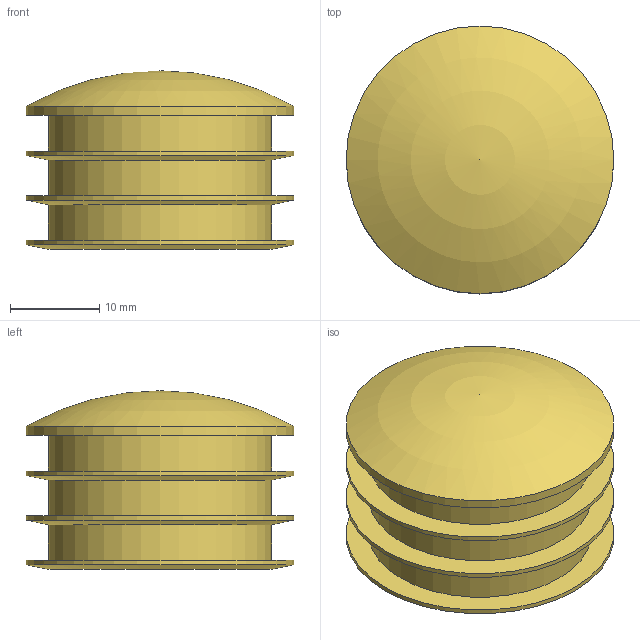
import cadquery as cq

outer_diameter = 30.0
core_diameter = 25.0
total_height = 20.0
dome_height = 4.0
rim_thickness = 1.0
fin_count = 3
fin_edge_height = 0.5
fin_taper_height = 0.5

outer_radius = outer_diameter / 2
core_radius = core_diameter / 2
rim_top = total_height - dome_height
rim_bottom = rim_top - rim_thickness
fin_pitch = rim_bottom / fin_count
dome_radius = (outer_radius**2 + dome_height**2) / (2 * dome_height)


def make_core():
    """Cylindrical plug body from the base up to the cap."""
    return cq.Workplane("XY").circle(core_radius).extrude(rim_bottom)


def make_fin(base_z):
    """Sealing fin: underside tapers out from the core to a thin straight edge."""
    fin_top = base_z + fin_taper_height + fin_edge_height
    profile = (
        cq.Workplane("XZ")
        .moveTo(0, base_z)
        .lineTo(core_radius, base_z)
        .lineTo(outer_radius, base_z + fin_taper_height)
        .lineTo(outer_radius, fin_top)
        .lineTo(0, fin_top)
        .close()
    )
    return profile.revolve(360, (0, 0, 0), (0, 1, 0))


def make_cap():
    """Flat-edged rim topped by a shallow spherical dome."""
    profile = (
        cq.Workplane("XZ")
        .moveTo(0, rim_bottom)
        .lineTo(outer_radius, rim_bottom)
        .lineTo(outer_radius, rim_top)
        .radiusArc((0, total_height), -dome_radius)
        .close()
    )
    return profile.revolve(360, (0, 0, 0), (0, 1, 0))


result = make_core().union(make_cap())
for fin_index in range(fin_count):
    result = result.union(make_fin(fin_index * fin_pitch))